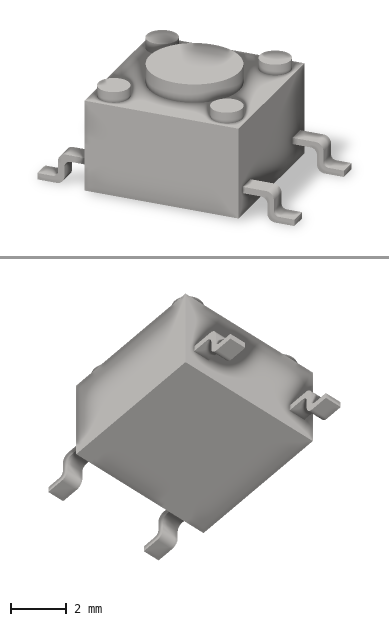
import cadquery as cq

body_side = 6.0
body_bottom = 0.1
body_top = 3.65

button_diameter = 3.5
button_top = 4.37
peg_diameter = 1.2
peg_top = 4.07
peg_offset = 2.2

lead_span = 10.0
lead_width = 0.7
lead_thickness = 0.25
lead_offset = 2.25
shoulder_top = 1.18
riser_outer_x = 4.2
outer_bend_radius = 0.3
foot_inner_radius = 0.2
shoulder_inner_radius = 0.25


def disc_on_body(diameter, top, centres):
    """Upright cylinders standing on the housing's top face."""
    return (
        cq.Workplane("XY", origin=(0, 0, body_top))
        .pushPoints(centres)
        .circle(diameter / 2)
        .extrude(top - body_top)
    )


def lead(y_centre):
    """Lead on the +X side: foot at Z = 0, riser, then shoulder into the housing."""
    body_face = body_side / 2
    foot_end = lead_span / 2
    riser_inner_x = riser_outer_x - lead_thickness
    shoulder_underside = shoulder_top - lead_thickness
    strip = (
        cq.Workplane("XZ", origin=(0, y_centre + lead_width / 2, 0))
        .moveTo(body_face, shoulder_top)
        .lineTo(riser_outer_x, shoulder_top)
        .lineTo(riser_outer_x, lead_thickness)
        .lineTo(foot_end, lead_thickness)
        .lineTo(foot_end, 0)
        .lineTo(riser_inner_x, 0)
        .lineTo(riser_inner_x, shoulder_underside)
        .lineTo(body_face, shoulder_underside)
        .close()
        .extrude(lead_width)
    )
    bends = (
        (riser_outer_x, shoulder_top, outer_bend_radius),
        (riser_inner_x, shoulder_underside, shoulder_inner_radius),
        (riser_outer_x, lead_thickness, foot_inner_radius),
        (riser_inner_x, 0, outer_bend_radius),
    )
    for x, z, radius in bends:
        corner = cq.selectors.NearestToPointSelector((x, y_centre, z))
        strip = strip.edges("|Y").edges(corner).fillet(radius)
    return strip


body = cq.Workplane("XY", origin=(0, 0, body_bottom)).rect(body_side, body_side)
result = body.extrude(body_top - body_bottom)

result = result.union(disc_on_body(button_diameter, button_top, [(0, 0)]))
peg_centres = [(x, y) for x in (-peg_offset, peg_offset) for y in (-peg_offset, peg_offset)]
result = result.union(disc_on_body(peg_diameter, peg_top, peg_centres))

for y_centre in (-lead_offset, lead_offset):
    right_lead = lead(y_centre)
    result = result.union(right_lead).union(right_lead.mirror("YZ"))